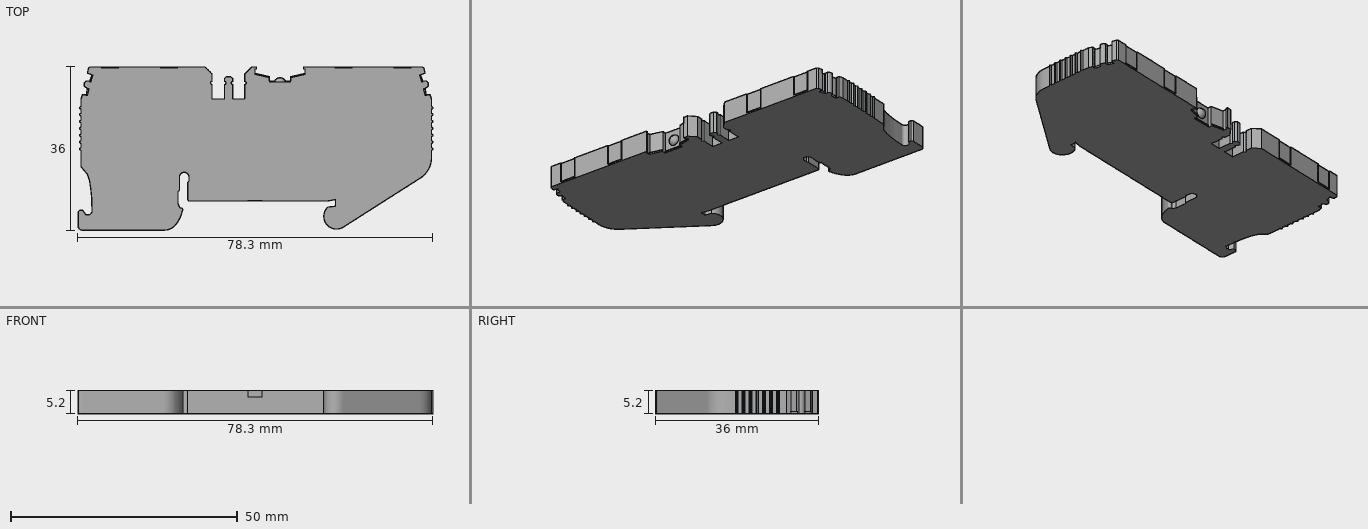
import cadquery as cq
import math

thickness = 5.2
height = 36.05
length = 78.35

tooth_height = 0.3
tooth_half_width = 0.3
tooth_tip_half_width = 0.12
tooth_count = 7
lowest_tooth_y, highest_tooth_y = 17.95, 27.0
tooth_pitch = (highest_tooth_y - lowest_tooth_y) / (tooth_count - 1)
right_wall = length - tooth_height
left_wall = 0.6
middle_x = (left_wall + right_wall) / 2

skin = 0.5
recess_depth = 0.2

toe_radius = 0.95
rail_face_y = 6.4
rail_slot_left = 22.4
rail_slot_right = 24.2
rail_corner_radius = 0.4
rail_slot_top = 12.8
relief_start = 55.0
relief_top = 6.7
hook_x, hook_y, hook_radius = 57.05, 3.05, 2.8
hook_neck_x = 56.8
hook_neck_y = 5.3
hook_top_angle = 132
ramp_angle = 32.5
shoulder_radius = 5.3

slot_floor_y = 29.0
slot_left, slot_right = 29.6, 36.75
tongue_left, tongue_right = 32.3, 34.2
tongue_top = 33.9
tongue_chamfer = 0.5
slot_chamfer = 1.6
detent_y = 32.5
detent_radius = 0.35

seat_x = 44.6
seat_mouth_half = 5.2
seat_half = 5.5
seat_lip_y = 35.6
seat_edge_y = 34.6
seat_step_y = 33.9
seat_floor_half = 2.35
seat_floor_y = 33.0
dome_radius = 1.3
dome_y = 32.4

label_width = 3.8
label_offsets = [19.3, 32.3]

pocket_start, pocket_width = 37.5, 3.05
pocket_height = 1.5
pocket_depth = 0.15


def both_ends(solid):
    """Return the solid together with its mirror image at the other end."""
    middle_plane_point = (middle_x, 0, 0)
    return solid.union(solid.mirror("YZ", middle_plane_point))


def prism(points, bottom=0.0):
    """Extrude a polygon from the given level up to the front face."""
    return cq.Workplane("XY").workplane(offset=bottom).polyline(points).close().extrude(thickness - bottom)


def make_body():
    """Plate with the foot, rail slot, hook and ramp; the upper edge is still plain."""
    angle = math.radians(ramp_angle)
    ramp_start = (hook_x + hook_radius * math.sin(angle), hook_y - hook_radius * math.cos(angle))
    ramp_rise = (right_wall - ramp_start[0]) * math.tan(angle)
    ramp_corner = (right_wall, ramp_start[1] + ramp_rise)
    shoulder_trim = shoulder_radius * math.tan((math.pi / 2 - angle) / 2)
    ramp_end = (
        ramp_corner[0] - shoulder_trim * math.cos(angle),
        ramp_corner[1] - shoulder_trim * math.sin(angle),
    )
    shoulder_top = (right_wall, ramp_corner[1] + shoulder_trim)
    top_angle = math.radians(hook_top_angle)
    hook_top = (
        hook_x + hook_radius * math.cos(top_angle),
        hook_y + hook_radius * math.sin(top_angle),
    )
    return (
        cq.Workplane("XY")
        .moveTo(left_wall, height)
        .lineTo(left_wall, 14.0)
        .lineTo(2.0, 12.4)
        .lineTo(2.5, 11.0)
        .lineTo(2.8, 8.85)
        .lineTo(3.0, 7.2)
        .lineTo(3.05, 4.2)
        .threePointArc((2.8, 3.7), (2.35, 3.45))
        .lineTo(1.7, 3.45)
        .lineTo(1.0, 4.5)
        .lineTo(0.4, 4.5)
        .lineTo(0, 4.1)
        .lineTo(0, toe_radius)
        .radiusArc((toe_radius, 0), -toe_radius)
        .lineTo(19.05, 0)
        .tangentArcPoint((21.3, 0.95), relative=False)
        .threePointArc((22.3, 2.35), (23.0, 4.2))
        .threePointArc((23.0, 4.8), (22.5, 4.9))
        .lineTo(22.1, 5.9)
        .lineTo(22.1, 8.55)
        .lineTo(rail_slot_left, 8.85)
        .lineTo(rail_slot_left, 11.75)
        .threePointArc((23.4, rail_slot_top), (24.45, 11.75))
        .lineTo(24.45, 10.9)
        .lineTo(rail_slot_right, 10.6)
        .lineTo(rail_slot_right, rail_face_y + rail_corner_radius)
        .radiusArc((rail_slot_right + rail_corner_radius, rail_face_y), -rail_corner_radius)
        .lineTo(relief_start, rail_face_y)
        .lineTo(hook_neck_x, relief_top)
        .lineTo(hook_neck_x, hook_neck_y)
        .lineTo(*hook_top)
        .threePointArc((hook_x - hook_radius, hook_y), (hook_x, hook_y - hook_radius))
        .radiusArc(ramp_start, -hook_radius)
        .lineTo(*ramp_end)
        .radiusArc(shoulder_top, -shoulder_radius)
        .lineTo(right_wall, height)
        .close()
        .extrude(thickness)
    )


def make_end_clearance():
    """Space outside the stepped upper corner: two grooves with a rounded rib between them."""
    outside = left_wall - 0.8
    return (
        cq.Workplane("XY")
        .moveTo(outside, height)
        .lineTo(2.6, height)
        .lineTo(2.3, 35.7)
        .lineTo(2.0, 34.6)
        .lineTo(3.05, 34.3)
        .lineTo(2.6, 33.0)
        .lineTo(1.9, 33.0)
        .threePointArc((1.3, 32.4), (1.5, 31.65))
        .lineTo(2.0, 31.35)
        .lineTo(1.8, 29.9)
        .lineTo(0.95, 29.9)
        .lineTo(left_wall, 29.0)
        .lineTo(outside, 29.0)
        .close()
        .extrude(thickness)
    )


def make_groove_recesses():
    """Deeper part of both end grooves, in front of the skin."""
    upper = prism([(3.0, 34.3), (3.3, 34.25), (2.8, 32.75), (2.6, 32.75), (2.5, 33.0)], skin)
    lower = prism([(2.0, 31.35), (2.4, 31.2), (2.0, 29.7), (1.7, 29.7), (1.7, 29.9)], skin)
    return upper.union(lower)


def make_teeth():
    """Row of small tapered teeth along the left end wall."""
    teeth = cq.Workplane("XY")
    root_x = left_wall + tooth_height
    tip_x = left_wall - tooth_height
    for index in range(tooth_count):
        tooth_y = lowest_tooth_y + index * tooth_pitch
        tooth = prism([
            (root_x, tooth_y - tooth_half_width),
            (left_wall, tooth_y - tooth_half_width),
            (tip_x, tooth_y - tooth_tip_half_width),
            (tip_x, tooth_y + tooth_tip_half_width),
            (left_wall, tooth_y + tooth_half_width),
            (root_x, tooth_y + tooth_half_width),
        ])
        teeth = teeth.union(tooth)
    return teeth


def make_twin_slots():
    """Chamfered opening with two slots, a central tongue and a detent in every slot wall."""
    opening = prism([
        (slot_left - slot_chamfer, height),
        (slot_left, height - slot_chamfer),
        (slot_left, slot_floor_y),
        (slot_right, slot_floor_y),
        (slot_right, height - slot_chamfer),
        (slot_right + slot_chamfer, height),
    ])
    tongue = prism([
        (tongue_left, slot_floor_y),
        (tongue_left, tongue_top - tongue_chamfer),
        (tongue_left + tongue_chamfer, tongue_top),
        (tongue_right - tongue_chamfer, tongue_top),
        (tongue_right, tongue_top - tongue_chamfer),
        (tongue_right, slot_floor_y),
    ])
    walls = [slot_left, tongue_left, tongue_right, slot_right]
    detents = (
        cq.Workplane("XY")
        .pushPoints([(wall, detent_y) for wall in walls])
        .circle(detent_radius)
        .extrude(thickness)
    )
    return opening.cut(tongue).union(detents)


def make_seat(depth, bottom):
    """Marker seat between two lips; its sloped shelves and floor are lowered by the given depth."""
    right_side = [
        (seat_floor_half, seat_floor_y - depth),
        (seat_floor_half, seat_step_y - depth),
        (seat_half, seat_edge_y - depth),
        (seat_half, seat_lip_y),
        (seat_mouth_half, seat_lip_y),
        (seat_mouth_half, height),
    ]
    right_points = [(seat_x + x, y) for x, y in right_side]
    left_points = [(seat_x - x, y) for x, y in reversed(right_side)]
    return prism(right_points + left_points, bottom)


def make_dome():
    """Ball whose upper part stands proud of the marker-seat floor."""
    return cq.Workplane("XY").sphere(dome_radius).translate(
        (seat_x, dome_y, thickness / 2)
    )


def make_label_recesses():
    """Shallow recesses in the right half of the upper edge, in front of the skin."""
    recesses = cq.Workplane("XY")
    for offset in label_offsets:
        centre = middle_x + offset
        recess = cq.Workplane("XY").box(
            label_width, 2 * recess_depth, thickness - skin, centered=(True, True, False)
        )
        recesses = recesses.union(recess.translate((centre, height, skin)))
    return recesses


def make_rail_pocket():
    """Shallow pocket in the rail face, running out through the front face."""
    pocket = cq.Workplane("XY").box(pocket_width, pocket_depth, pocket_height, centered=False)
    return pocket.translate((pocket_start, rail_face_y, thickness - pocket_height))


result = (
    make_body()
    .cut(both_ends(make_end_clearance()))
    .cut(both_ends(make_groove_recesses()))
    .union(both_ends(make_teeth()))
    .cut(make_twin_slots())
    .cut(make_seat(0, 0))
    .cut(make_seat(recess_depth, skin))
    .union(make_dome())
    .cut(both_ends(make_label_recesses()))
    .cut(make_rail_pocket())
)